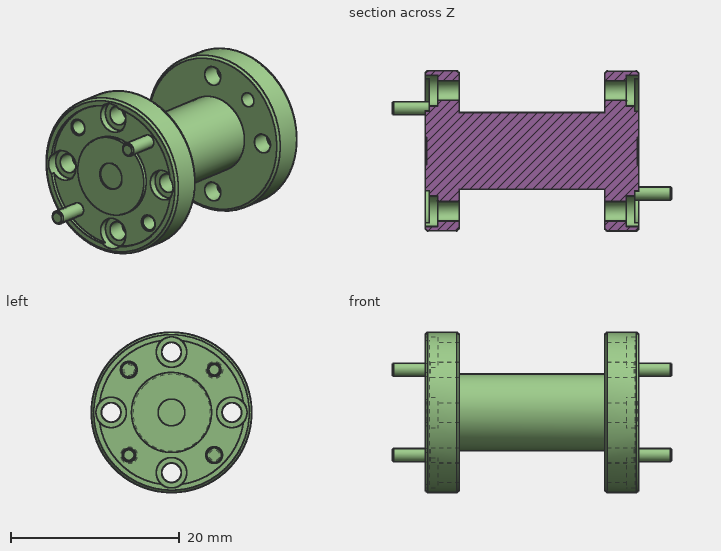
import cadquery as cq

overall_length = 33.15
pin_protrusion = 3.88
flange_thickness = 4.08
face_x = overall_length / 2 - pin_protrusion

flange_diameter = 19.05
flange_chamfer = 0.3
tube_diameter = 9.15

recess_diameter = 17.25
boss_diameter = 9.5
recess_depth = 0.5
bore_diameter = 3.18
bore_depth = 0.2

bolt_circle_radius = 7.15
bolt_hole_diameter = 2.3
counterbore_diameter = 3.6
counterbore_depth = 1.5
pin_diameter = 1.6
pin_chamfer = 0.15
dowel_hole_diameter = 1.72
dowel_hole_chamfer = 0.13

bolt_angles = (0, 90, 180, 270)
pin_angles = (135, 315)
dowel_hole_angles = (45, 225)


def x_cylinder(diameter, start, end):
    """Cylinder on the X axis between two X positions."""
    return cq.Workplane("YZ").workplane(offset=start).circle(diameter / 2).extrude(end - start)


def on_bolt_circle(body, angles):
    """Copies of an on-axis body moved out to the bolt circle at angles measured from +Y toward +Z."""
    moved = body.translate((0, bolt_circle_radius, 0))
    return [moved.rotate((0, 0, 0), (1, 0, 0), angle) for angle in angles]


def make_flange():
    """Flange at the -X end, with its mating face toward -X and its alignment pins."""
    outer_face = -face_x
    inner_face = outer_face + flange_thickness
    recess_floor = outer_face + recess_depth
    flange = x_cylinder(flange_diameter, outer_face, inner_face).edges().chamfer(flange_chamfer)

    recess = x_cylinder(recess_diameter, outer_face, recess_floor)
    recess = recess.cut(x_cylinder(boss_diameter, outer_face, recess_floor))
    flange = flange.cut(recess)
    flange = flange.cut(x_cylinder(bore_diameter, outer_face, outer_face + bore_depth))

    bolt_hole = x_cylinder(bolt_hole_diameter, outer_face, inner_face)
    bolt_hole = bolt_hole.union(
        x_cylinder(counterbore_diameter, outer_face, outer_face + counterbore_depth)
    )
    for hole in on_bolt_circle(bolt_hole, bolt_angles):
        flange = flange.cut(hole)

    mouth_radius = dowel_hole_diameter / 2 + dowel_hole_chamfer
    countersink = cq.Workplane(
        cq.Solid.makeCone(
            mouth_radius,
            dowel_hole_diameter / 2,
            dowel_hole_chamfer,
            cq.Vector(recess_floor, 0, 0),
            cq.Vector(1, 0, 0),
        )
    )
    dowel_hole = x_cylinder(dowel_hole_diameter, recess_floor, inner_face).union(countersink)
    for hole in on_bolt_circle(dowel_hole, dowel_hole_angles):
        flange = flange.cut(hole)

    pin = x_cylinder(pin_diameter, -overall_length / 2, recess_floor)
    pin = pin.faces("<X").edges().chamfer(pin_chamfer)
    for placed_pin in on_bolt_circle(pin, pin_angles):
        flange = flange.union(placed_pin)
    return flange


flange = make_flange()
opposite_flange = flange.rotate((0, 0, 0), (0, 0, 1), 180)
tube_end = face_x - flange_thickness
tube = x_cylinder(tube_diameter, -tube_end, tube_end)

result = tube.union(flange).union(opposite_flange)